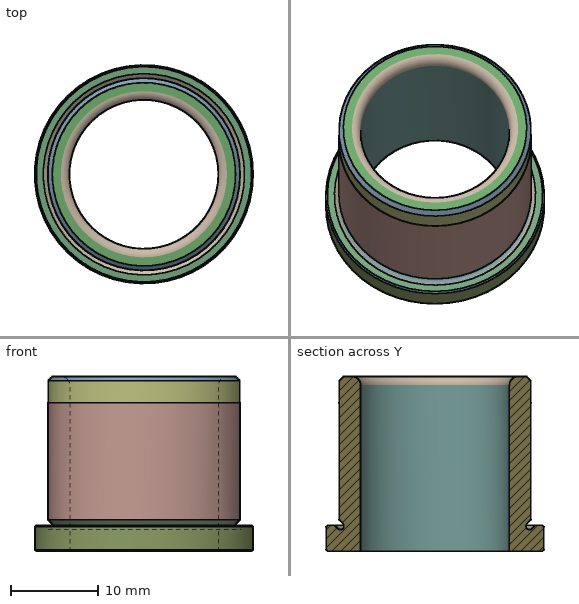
import cadquery as cq
import math

total_height = 20.0
flange_diameter = 25.0
flange_height = 3.0
flange_chamfer = 0.2

seat_diameter = 22.02
lead_diameter = 21.96
lead_length = 3.0
lead_chamfer = 0.5

bore_diameter = 17.0
bore_mouth_radius = 1.0

relief_height = 0.6
relief_face_diameter = 23.0
relief_flank_drop = 0.4

flange_radius = flange_diameter / 2
seat_radius = seat_diameter / 2
lead_radius = lead_diameter / 2
bore_radius = bore_diameter / 2
relief_face_radius = relief_face_diameter / 2
seat_bottom = flange_height + relief_height
lead_bottom = total_height - lead_length

DIAGONAL = math.sqrt(0.5)


def relief_floor_arc():
    """Start, middle and end (radius, level) of the half-round joining the parallel relief flanks."""
    floor_radius = (relief_face_radius - seat_radius + relief_height) * DIAGONAL / 2
    step = floor_radius * DIAGONAL
    start_r = relief_face_radius - relief_flank_drop
    start_z = flange_height - relief_flank_drop
    center_r = start_r - step
    center_z = start_z + step
    start = (start_r, start_z)
    middle = (center_r - step, center_z - step)
    end = (center_r - step, center_z + step)
    return start, middle, end


def half_section():
    """Closed wall section, drawn from the bottom of the bore outwards and up."""
    relief_start, relief_middle, relief_end = relief_floor_arc()
    mouth_inset = bore_mouth_radius * (1 - DIAGONAL)
    return (
        cq.Workplane("XZ")
        .moveTo(bore_radius, 0)
        .lineTo(flange_radius - flange_chamfer, 0)
        .lineTo(flange_radius, flange_chamfer)
        .lineTo(flange_radius, flange_height - flange_chamfer)
        .lineTo(flange_radius - flange_chamfer, flange_height)
        .lineTo(relief_face_radius, flange_height)
        .lineTo(*relief_start)
        .threePointArc(relief_middle, relief_end)
        .lineTo(seat_radius, seat_bottom)
        .lineTo(seat_radius, lead_bottom)
        .lineTo(lead_radius, lead_bottom)
        .lineTo(lead_radius, total_height - lead_chamfer)
        .lineTo(lead_radius - lead_chamfer, total_height)
        .lineTo(bore_radius + bore_mouth_radius, total_height)
        .threePointArc(
            (bore_radius + mouth_inset, total_height - mouth_inset),
            (bore_radius, total_height - bore_mouth_radius),
        )
        .close()
    )


result = half_section().revolve(360, (0, 0, 0), (0, 1, 0))